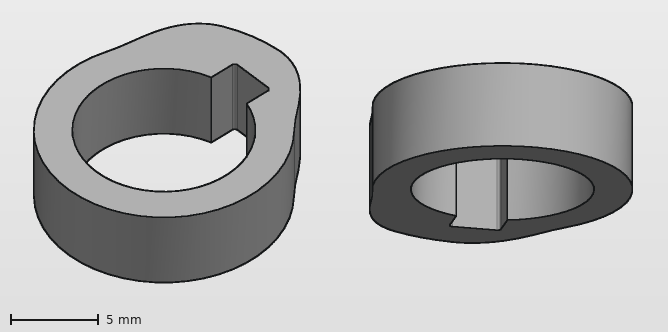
import cadquery as cq
import math

width = 14.8
length = 16.79
thickness = 5.0
base_radius = width / 2
bore_radius = 5.2

nose_radius = length - base_radius
nose_angle = 96.9
dwell_half_angle = 11.5
lift_half_angle = 58.5
flank_steps = 24

key_angle = 81.4
key_width = 2.99
key_depth_radius = 6.8
key_corner_radius = 0.2


def polar(radius, angle):
    """Point at a radius and an angle in degrees about the bore axis."""
    return (radius * math.cos(math.radians(angle)), radius * math.sin(math.radians(angle)))


def flank_radius(offset):
    """Harmonic fall from nose to base at an angle offset from the nose direction."""
    progress = (offset - dwell_half_angle) / (lift_half_angle - dwell_half_angle)
    lift = nose_radius - base_radius
    return base_radius + lift * (1 + math.cos(math.pi * progress)) / 2


def flank_points(side):
    """Flank points from the nose down to the base; side is +1 or -1."""
    span = lift_half_angle - dwell_half_angle
    offsets = [dwell_half_angle + span * i / flank_steps for i in range(flank_steps + 1)]
    return [polar(flank_radius(offset), nose_angle + side * offset) for offset in offsets]


def make_cam():
    left_flank = flank_points(1)
    right_flank = flank_points(-1)[::-1]
    left_tangents = [
        polar(1, nose_angle + dwell_half_angle + 90),
        polar(1, nose_angle + lift_half_angle + 90),
    ]
    right_tangents = [
        polar(1, nose_angle - lift_half_angle + 90),
        polar(1, nose_angle - dwell_half_angle + 90),
    ]
    return (
        cq.Workplane("XY")
        .moveTo(*right_flank[0])
        .spline(right_flank[1:], tangents=right_tangents, includeCurrent=True)
        .threePointArc(polar(nose_radius, nose_angle), left_flank[0])
        .spline(left_flank[1:], tangents=left_tangents, includeCurrent=True)
        .threePointArc(polar(base_radius, nose_angle + 180), right_flank[0])
        .close()
        .extrude(thickness)
    )


def make_keyway():
    return (
        cq.Workplane("XY")
        .center(key_depth_radius / 2, 0)
        .rect(key_depth_radius, key_width)
        .extrude(thickness)
        .edges("|Z and >X")
        .fillet(key_corner_radius)
        .rotate((0, 0, 0), (0, 0, 1), key_angle)
    )


bore = cq.Workplane("XY").circle(bore_radius).extrude(thickness)
result = make_cam().cut(bore).cut(make_keyway())